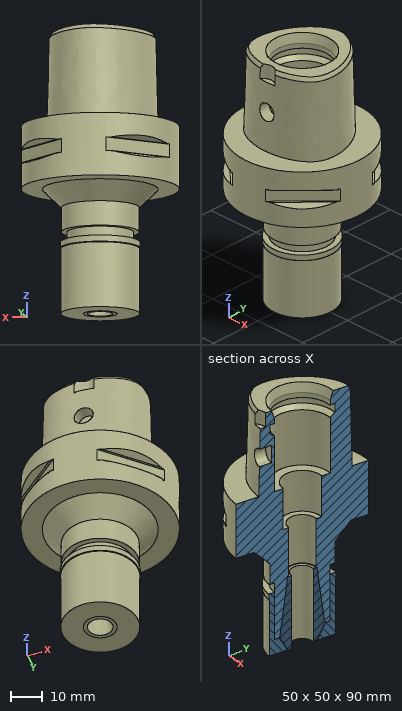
import cadquery as cq
import math

TOTAL_LENGTH = 90.0

FLANGE_RADIUS = 25.0
FLANGE_TOP = 60.0
FLANGE_BOTTOM = 40.0

LOBE_MEAN_RADIUS = 17.6
LOBE_RISE = 1.2
SHANK_TAPER = 0.025
SHANK_CHAMFER_HEIGHT = 1.4
SHANK_CHAMFER_WIDTH = 0.8
OUTLINE_POINTS = 36

NOTCH_RADIUS = 4.0
NOTCH_DEEPEST_Y = -13.9
NOTCH_HEIGHT = 5.2
RADIAL_HOLE_RADIUS = 3.15
RADIAL_HOLE_DROP = 15.9
RADIAL_HOLE_FLOOR_Y = -11.7

MOUTH_RADIUS = 11.5
LIP_RADIUS = 10.4
LIP_TOP_DEPTH = 3.3
LIP_BOTTOM_DEPTH = 5.1
BORE_GROOVE_RADIUS = 12.15
BORE_GROOVE_DEPTH = 8.2
BORE_GROOVE_END_DEPTH = 9.6
BORE_DEPTH = 30.0
SCREW_HOLE_RADIUS = 7.2
SCREW_HOLE_DEPTH = 45.0
COOLANT_HOLE_RADIUS = 5.1

POCKET_FLOOR_DISTANCE = 22.05
POCKET_LEDGE_DEPTH = 0.7
POCKET_FLOOR_HEIGHT = 4.3
POCKET_FLARE = 1.2

CONE_TOP_RADIUS = 18.3
NECK_RADIUS = 12.3
NECK_TOP = 34.0
NECK_BOTTOM = 26.2
NOSE_RADIUS = 10.5

NUT_TOP = 22.95
NUT_RADIUS = 12.5
COLLAR_RADIUS = 12.7
COLLAR_BOTTOM = 21.0
NUT_FLOOR = 5.4

COLLET_BORE_RADIUS = 4.05
COLLET_TOP = 27.0
COLLET_BACK_RADIUS = 5.4
COLLET_TAPER_ANGLE = 8.0
COLLET_FRONT_ANGLE = 30.0

collet_rim_radius = COLLET_BACK_RADIUS + (COLLET_TOP - NUT_FLOOR) * math.tan(math.radians(COLLET_TAPER_ANGLE))
collet_face_radius = collet_rim_radius - NUT_FLOOR * math.tan(math.radians(COLLET_FRONT_ANGLE))


def turned(points):
    """Solid of revolution about Z from (radius, height) points."""
    return cq.Workplane("XZ").polyline(points).close().revolve(360, (0, 0, 0), (0, 1, 0))


def lobed_point(mean_radius, turn):
    """Point of a constant-width outline with three lobes, starting at -Y; turn runs from 0 to 1."""
    angle = 2 * math.pi * turn - math.pi / 2
    reach = mean_radius - LOBE_RISE * math.sin(3 * angle)
    slope = -3 * LOBE_RISE * math.cos(3 * angle)
    x = reach * math.cos(angle) - slope * math.sin(angle)
    y = reach * math.sin(angle) + slope * math.cos(angle)
    return (x, y)


def lobed_outline(mean_radius, height):
    """Closed smooth edge along the lobed outline."""
    turns = [i / OUTLINE_POINTS for i in range(OUTLINE_POINTS)]
    points = [cq.Vector(*lobed_point(mean_radius, turn), height) for turn in turns]
    return cq.Edge.makeSpline(points, periodic=True)


def lobed_frustum(bottom, bottom_radius, top, top_radius):
    """Solid with straight flanks between two lobed outlines."""
    outlines = [lobed_outline(bottom_radius, bottom), lobed_outline(top_radius, top)]
    flank = cq.Face.makeRuledSurface(*outlines)
    ends = [cq.Face.makeFromWires(cq.Wire.assembleEdges([outline])) for outline in outlines]
    return cq.Workplane(cq.Solid.makeSolid(cq.Shell.makeShell([flank, *ends])))


def shank():
    chamfer_start = TOTAL_LENGTH - SHANK_CHAMFER_HEIGHT
    chamfer_radius = LOBE_MEAN_RADIUS - SHANK_TAPER * (chamfer_start - FLANGE_TOP)
    taper = lobed_frustum(FLANGE_TOP, LOBE_MEAN_RADIUS, chamfer_start, chamfer_radius)
    chamfer = lobed_frustum(
        chamfer_start, chamfer_radius, TOTAL_LENGTH, chamfer_radius - SHANK_CHAMFER_WIDTH
    )
    return taper.union(chamfer)


def flange_and_nose():
    return turned([
        (0, FLANGE_TOP),
        (FLANGE_RADIUS, FLANGE_TOP),
        (FLANGE_RADIUS, FLANGE_BOTTOM),
        (CONE_TOP_RADIUS, FLANGE_BOTTOM),
        (NECK_RADIUS, NECK_TOP),
        (NECK_RADIUS, NECK_BOTTOM),
        (NOSE_RADIUS, NECK_BOTTOM),
        (NOSE_RADIUS, NUT_FLOOR),
        (0, NUT_FLOOR),
    ])


def stepped_bore():
    """Clamping bore with its grooved mouth, then the narrower holes down to the collet seat."""
    top = TOTAL_LENGTH
    return turned([
        (0, top),
        (MOUTH_RADIUS, top),
        (LIP_RADIUS, top - LIP_TOP_DEPTH),
        (LIP_RADIUS, top - LIP_BOTTOM_DEPTH),
        (BORE_GROOVE_RADIUS, top - LIP_BOTTOM_DEPTH),
        (BORE_GROOVE_RADIUS, top - BORE_GROOVE_DEPTH),
        (LIP_RADIUS, top - BORE_GROOVE_END_DEPTH),
        (LIP_RADIUS, top - BORE_DEPTH),
        (SCREW_HOLE_RADIUS, top - BORE_DEPTH),
        (SCREW_HOLE_RADIUS, top - SCREW_HOLE_DEPTH),
        (COOLANT_HOLE_RADIUS, top - SCREW_HOLE_DEPTH),
        (COOLANT_HOLE_RADIUS, COLLET_TOP),
        (0, COLLET_TOP),
    ])


def collet_envelope():
    """Outer shape of the collet: a long back taper and a short front cone."""
    return turned([
        (0, COLLET_TOP),
        (COLLET_BACK_RADIUS, COLLET_TOP),
        (collet_rim_radius, NUT_FLOOR),
        (collet_face_radius, 0),
        (0, 0),
    ])


def orientation_notch():
    return (
        cq.Workplane("XY", origin=(0, NOTCH_DEEPEST_Y - NOTCH_RADIUS, TOTAL_LENGTH))
        .circle(NOTCH_RADIUS)
        .extrude(-NOTCH_HEIGHT)
    )


def radial_hole():
    return (
        cq.Workplane("XZ", origin=(0, RADIAL_HOLE_FLOOR_Y, TOTAL_LENGTH - RADIAL_HOLE_DROP))
        .circle(RADIAL_HOLE_RADIUS)
        .extrude(FLANGE_RADIUS)
    )


def gripper_pockets():
    """Four straight slots across the flange rim, midway between the X and Y axes."""
    ledge = POCKET_FLOOR_DISTANCE + POCKET_LEDGE_DEPTH
    half_floor = POCKET_FLOOR_HEIGHT / 2
    half_mouth = half_floor + POCKET_FLARE
    pocket = (
        cq.Workplane("XZ", origin=(0, 0, (FLANGE_TOP + FLANGE_BOTTOM) / 2))
        .polyline([
            (POCKET_FLOOR_DISTANCE, -half_floor),
            (ledge, -half_floor),
            (FLANGE_RADIUS, -half_mouth),
            (FLANGE_RADIUS, half_mouth),
            (ledge, half_floor),
            (POCKET_FLOOR_DISTANCE, half_floor),
        ])
        .close()
        .extrude(FLANGE_RADIUS, both=True)
    )
    return [pocket.rotate((0, 0, 0), (0, 0, 1), angle) for angle in (45, 135, 225, 315)]


def make_holder():
    holder = flange_and_nose().union(shank())
    holder = holder.cut(stepped_bore()).cut(collet_envelope())
    holder = holder.cut(orientation_notch()).cut(radial_hole())
    for pocket in gripper_pockets():
        holder = holder.cut(pocket)
    return holder


def make_nut():
    return turned([
        (NOSE_RADIUS, NUT_TOP),
        (COLLAR_RADIUS, NUT_TOP),
        (COLLAR_RADIUS, COLLAR_BOTTOM),
        (NUT_RADIUS, COLLAR_BOTTOM - (COLLAR_RADIUS - NUT_RADIUS)),
        (NUT_RADIUS, 0),
        (collet_face_radius, 0),
        (collet_rim_radius, NUT_FLOOR),
        (NOSE_RADIUS, NUT_FLOOR),
    ])


def make_collet():
    bore = cq.Workplane("XY").circle(COLLET_BORE_RADIUS).extrude(COLLET_TOP)
    return collet_envelope().cut(bore)


holder = make_holder()
nut = make_nut()
collet = make_collet()

result = cq.Compound.makeCompound([holder.solids().val(), nut.solids().val(), collet.solids().val()])